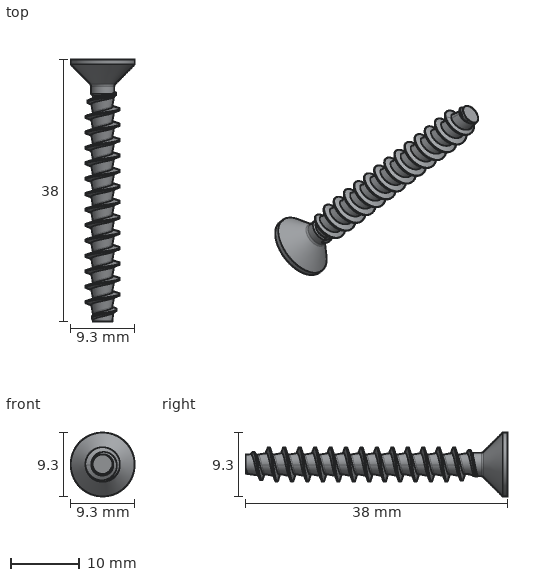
import cadquery as cq
import math

length = 38.0
head_diameter = 9.3
head_radius = head_diameter / 2
rim_thickness = 0.72
neck_radius = 1.7
neck_start = 3.7
neck_end = 4.98
neck_fillet = 0.45
selection_margin = 0.05

core_radius = 1.45
tip_radius = 1.35
tip_taper = 1.52

ten_turn_length = 22.4
pitch = ten_turn_length / 10
first_crest_depth = 4.98
start_turn = -0.2
end_turn = 14.7
run_in_turns = 1.2
run_out_turns = 1.2
crest_radius = 2.5
crest_start_radius = 1.9
crest_end_radius = 1.4
crest_width = 0.2
ridge_base_width = 0.75
root_high_radius = 1.67
root_end_radius = 1.4
root_gap = 0.05
buried_radius = 1.05
root_slope_end = pitch - ridge_base_width / 2 - root_gap
points_per_turn = 12


def make_body():
    """Head, neck and core as one revolved solid."""
    profile = (
        cq.Workplane("XY")
        .moveTo(0, 0)
        .lineTo(head_radius, 0)
        .lineTo(head_radius, -rim_thickness)
        .lineTo(neck_radius, -neck_start)
        .lineTo(neck_radius, -neck_end)
        .lineTo(core_radius, -neck_end - (neck_radius - core_radius))
        .lineTo(core_radius, -length + tip_taper)
        .lineTo(tip_radius, -length)
        .lineTo(0, -length)
        .close()
    )
    body = profile.revolve(360, (0, 0, 0), (0, 1, 0))
    junction = cq.selectors.BoxSelector(
        (-head_radius, -neck_start - selection_margin, -head_radius),
        (head_radius, -neck_start + selection_margin, head_radius),
    )
    return body.edges(junction).fillet(neck_fillet)


def faded_radius(full, start, end, turn):
    """Radius that grows over the run-in and shrinks over the run-out."""
    run_in = min(1.0, (turn - start_turn) / run_in_turns)
    run_out = min(1.0, (end_turn - turn) / run_out_turns)
    return min(start + (full - start) * run_in, end + (full - end) * run_out)


def helix_edge(first_turn, last_turn, offset, full, start, end):
    """Helical edge between two turns, shifted along the axis from the crest centre by offset."""
    count = math.ceil((last_turn - first_turn) * points_per_turn)
    points = []
    for i in range(count + 1):
        turn = first_turn + (last_turn - first_turn) * i / count
        radius = faded_radius(full, start, end, turn)
        angle = 2 * math.pi * turn
        depth = first_crest_depth + pitch * turn + offset
        points.append(cq.Vector(radius * math.cos(angle), -depth, radius * math.sin(angle)))
    parameters = [i / count for i in range(count + 1)]
    return cq.Edge.makeSpline(points, parameters=parameters)


def thread_edges(first_turn, last_turn):
    """Helical edges at the corners of the thread section, in order around it."""
    half_base = ridge_base_width / 2
    half_crest = crest_width / 2
    corners = [
        (-half_base, root_end_radius, root_end_radius, root_end_radius),
        (-half_crest, crest_radius, crest_start_radius, crest_end_radius),
        (half_crest, crest_radius, crest_start_radius, crest_end_radius),
        (half_base, root_high_radius, root_high_radius, root_end_radius),
        (root_slope_end, root_end_radius, root_end_radius, root_end_radius),
        (root_slope_end, buried_radius, buried_radius, buried_radius),
        (-half_base, buried_radius, buried_radius, buried_radius),
    ]
    return [helix_edge(first_turn, last_turn, *corner) for corner in corners]


def end_face(edges, position):
    """Flat face closing the thread at the start (0) or the end (1) of its edges."""
    corners = [edge.positionAt(position) for edge in edges]
    return cq.Face.makeFromWires(cq.Wire.makePolygon(corners, close=True))


def make_thread():
    """Ridge and sloping root, bounded by ruled faces between helical edges."""
    run_in_end = start_turn + run_in_turns
    run_out_start = end_turn - run_out_turns
    full_turns = math.floor(run_out_start - run_in_end)
    breaks = [start_turn]
    breaks += [run_in_end + i for i in range(full_turns + 1)]
    breaks += [run_out_start, end_turn]
    sections = [thread_edges(first, last) for first, last in zip(breaks, breaks[1:])]
    faces = [end_face(sections[0], 0), end_face(sections[-1], 1)]
    for edges in sections:
        for edge, following in zip(edges, edges[1:] + edges[:1]):
            faces.append(cq.Face.makeRuledSurface(edge, following))
    solid = cq.Solid.makeSolid(cq.Shell.makeShell(faces))
    return cq.Workplane(obj=solid.fix())


beyond_tip = cq.Workplane("XZ", origin=(0, -length, 0)).circle(head_radius).extrude(pitch)
result = make_body().union(make_thread()).cut(beyond_tip)